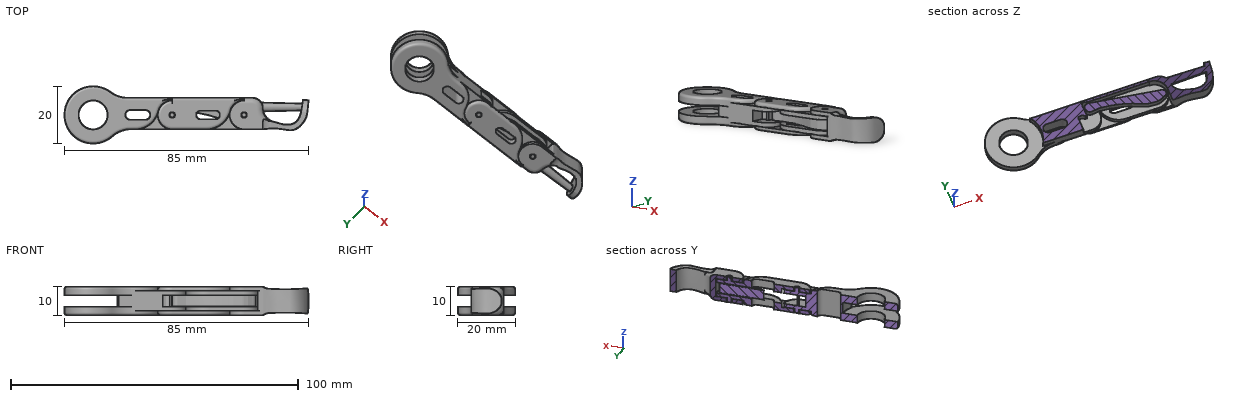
import cadquery as cq
import math


BACK_Y = 6.0
PALM_Y = -5.0
HALF_WIDTH = 5.0
EDGE_FILLET = 1.0
CUT_MARGIN = 2.0

PIVOT_1_X = 27.5
PIVOT_2_X = PIVOT_1_X + 25.0
LOBE_RADIUS = 5.0
CHEEK_THICKNESS = 1.5
FORK_HALF_GAP = HALF_WIDTH - CHEEK_THICKNESS
TONGUE_RADIUS = 4.75
TONGUE_AXIS_Y = PALM_Y + TONGUE_RADIUS
FORK_RADIUS = 5.25
PEG_DIAMETER = 1.7
PEG_HOLE_DIAMETER = 2.0
CHANNEL_HALF_WIDTH = 1.95
CHANNEL_ROOF_Y = 4.8

RING_RADIUS = 10.0
RING_BORE_DIAMETER = 10.0
NECK_RADIUS = 10.0
RING_GAP_RADIUS = 10.3
PROXIMAL_SHOULDER = 12.75
PROXIMAL_WINDOW = (15.55, 8.6, 3.3)
POCKET_START_X = 24.25
POCKET_BEND_X = 25.3
POCKET_EDGE_Y = 0.3
POCKET_ROOF_Y = 0.55
POCKET_HOLLOW_MIDDLE = (26.1, 0.35)
POCKET_LIP = (26.65, -0.1)
POCKET_END_X = 27.4

MIDDLE_SHOULDER = 13.0
FORK_SHOULDER = 12.75
MIDDLE_WINDOW = (40.0, 8.2, 3.0)

DISTAL_FILLET = 2.0
DISTAL_CORNER_X = 55.4
DISTAL_CORNER_RADIUS = 3.65
DISTAL_END_X = DISTAL_CORNER_X + DISTAL_CORNER_RADIUS
DISTAL_CORNER_Y = BACK_Y - DISTAL_CORNER_RADIUS
DISTAL_FORK_RADIUS = 4.85
DISTAL_WALL_X = PIVOT_2_X + DISTAL_FORK_RADIUS
MOUTH_ROUND = 0.45
FAIRING_FLOOR_Y = -4.2
HOOK_ROOT = (62.4, -2.25)
HOOK_TIP_X = 74.99
HOOK_TIP_Y = 5.1
HOOK_INNER_TIP = (72.95, 5.35)
HOOK_PALM_CURVE = [(61.8, -4.72), (66.6, -5.15), (70.2, -5.1), (73.2, -2.5), (HOOK_TIP_X, HOOK_TIP_Y)]
HOOK_INNER_CURVE = [(72.15, 0.4), (70.9, -2.1), (68.6, -3.3), (64.3, -2.8), HOOK_ROOT]
HOOK_NECK_HALF_WIDTH = 4.25
HOOK_WAIST_HALF_WIDTH = 4.15
HOOK_TIP_HALF_WIDTH = 4.45
HOOK_SHOULDER = (60.25, 4.42)
HOOK_NECK_X = 61.8
HOOK_WAIST_X = 69.0
TIP_ROUND_LENGTH = 5.5
SPIKE_Y = 2.75
SPIKE_START_X = 58.4
SPIKE_END_X = 73.2
SPIKE_START_RADIUS = 1.6
SPIKE_END_RADIUS = 1.25

COUPLER_HALF_WIDTH = 1.9
REAR_EYE = (29.4, 2.6)
REAR_EYE_RADIUS = 1.9
BEND_START = (32.3, 1.1)
BEND_MIDDLE = (41.5, -0.5)
BEND_END = (47.4, -2.8)
COUPLER_FACETS = [(48.8, -3.3), (51.9, -3.6), (52.4, -3.58), (53.9, -3.25), (55.4, -2.5)]
FRONT_END_TIP = (56.5, -0.8)
FRONT_END_BACK = (55.4, 0.4)


def slab(outline, half_width):
    """Extrude a closed XY outline into a slab centred on the Z = 0 plane."""
    return outline.extrude(2 * half_width).translate((0, 0, -half_width))


def block(x_min, x_max, y_min, y_max, half_width):
    """Rectangular block centred on Z = 0."""
    outline = cq.Workplane("XY").moveTo((x_min + x_max) / 2, (y_min + y_max) / 2)
    return slab(outline.rect(x_max - x_min, y_max - y_min), half_width)


def disc(x, radius, half_width, y=0.0):
    """Round disc with its axis along Z."""
    return slab(cq.Workplane("XY").center(x, y).circle(radius), half_width)


def s_curve(shoulder, hollow_radius):
    """Hollow arc about a hinge running into a convex arc that ends on the palm face.

    Returns the convex radius and the meeting point, relative to the hinge.
    """
    drop = -PALM_Y
    convex_radius = (shoulder**2 + drop**2 - hollow_radius**2) / (2 * (drop + hollow_radius))
    centre_y = PALM_Y + convex_radius
    span = math.hypot(shoulder, centre_y)
    return convex_radius, (hollow_radius * shoulder / span, hollow_radius * centre_y / span)


def s_curve_middles(shoulder, hollow_radius):
    """Midpoints of the hollow arc and of the convex arc, relative to the hinge."""
    convex_radius, meeting = s_curve(shoulder, hollow_radius)
    centre_y = PALM_Y + convex_radius
    hollow_angle = (math.pi / 2 + math.atan2(meeting[1], meeting[0])) / 2
    convex_angle = (math.atan2(-centre_y, -shoulder) - math.pi / 2) / 2
    hollow_middle = (hollow_radius * math.cos(hollow_angle), hollow_radius * math.sin(hollow_angle))
    convex_middle = (
        shoulder + convex_radius * math.cos(convex_angle),
        centre_y + convex_radius * math.sin(convex_angle),
    )
    return hollow_middle, convex_middle


def cheek_end_mask(pivot_x, shoulder):
    """Keeps a phalanx up to its hollowed cheek end, with that end's outer edges rounded."""
    start_x = pivot_x - shoulder
    high_y = RING_RADIUS + CUT_MARGIN
    _, meeting = s_curve(shoulder, LOBE_RADIUS)
    hollow_middle, convex_middle = s_curve_middles(shoulder, LOBE_RADIUS)
    end = slab(
        cq.Workplane("XY")
        .moveTo(start_x, high_y)
        .lineTo(start_x, PALM_Y)
        .threePointArc(
            (pivot_x - convex_middle[0], convex_middle[1]),
            (pivot_x - meeting[0], meeting[1]),
        )
        .threePointArc((pivot_x - hollow_middle[0], hollow_middle[1]), (pivot_x, LOBE_RADIUS))
        .lineTo(pivot_x, high_y)
        .close(),
        HALF_WIDTH,
    )
    end = end.faces("|Z").edges("%CIRCLE").fillet(EDGE_FILLET)
    rest = block(-RING_RADIUS - CUT_MARGIN, start_x, -high_y, high_y, HALF_WIDTH)
    return rest.union(end)


def tongue(start_x, pivot_x):
    """Narrow tongue that reaches into the next phalanx, rounded around the hinge."""
    bar = block(start_x, pivot_x, PALM_Y, BACK_Y, FORK_HALF_GAP)
    return bar.union(disc(pivot_x, TONGUE_RADIUS, FORK_HALF_GAP, TONGUE_AXIS_Y))


def pegs(pivot_x):
    """Peg through both cheeks of the next phalanx, one on each side of the tongue."""
    peg = disc(pivot_x, PEG_DIAMETER / 2, HALF_WIDTH)
    return peg.cut(disc(pivot_x, PEG_DIAMETER, CHANNEL_HALF_WIDTH))


def window(centre_x, length, width):
    """Long rounded opening through the whole width."""
    return slab(cq.Workplane("XY").center(centre_x, 0).slot2D(length, width), HALF_WIDTH + CUT_MARGIN)


def make_proximal():
    back_neck_x = math.sqrt((RING_RADIUS + NECK_RADIUS) ** 2 - (BACK_Y + NECK_RADIUS) ** 2)
    palm_neck_x = math.sqrt((RING_RADIUS + NECK_RADIUS) ** 2 - (NECK_RADIUS - PALM_Y) ** 2)
    ring_share = RING_RADIUS / (RING_RADIUS + NECK_RADIUS)
    back_joint = (back_neck_x * ring_share, (BACK_Y + NECK_RADIUS) * ring_share)
    palm_joint = (palm_neck_x * ring_share, (PALM_Y - NECK_RADIUS) * ring_share)

    outline = (
        cq.Workplane("XY")
        .moveTo(*palm_joint)
        .threePointArc((-RING_RADIUS, 0), back_joint)
        .radiusArc((back_neck_x, BACK_Y), -NECK_RADIUS)
        .lineTo(PIVOT_1_X, BACK_Y)
        .lineTo(PIVOT_1_X, PALM_Y)
        .lineTo(palm_neck_x, PALM_Y)
        .radiusArc(palm_joint, -NECK_RADIUS)
        .close()
    )
    body = slab(outline, HALF_WIDTH)
    free_edges = cq.selectors.BoxSelector(
        (PIVOT_1_X - EDGE_FILLET, -RING_RADIUS, -HALF_WIDTH - CUT_MARGIN),
        (PIVOT_1_X + EDGE_FILLET, RING_RADIUS, HALF_WIDTH + CUT_MARGIN),
    )
    body = body.faces("|Z").edges(cq.selectors.InverseSelector(free_edges)).fillet(EDGE_FILLET)
    body = body.intersect(cheek_end_mask(PIVOT_1_X, PROXIMAL_SHOULDER))
    body = body.union(tongue(PIVOT_1_X - PROXIMAL_SHOULDER, PIVOT_1_X))
    body = body.union(pegs(PIVOT_1_X))

    body = body.cut(disc(0, RING_BORE_DIAMETER / 2, HALF_WIDTH))
    body = body.cut(disc(0, RING_GAP_RADIUS, CHANNEL_HALF_WIDTH))

    body = body.cut(block(0, palm_neck_x, -RING_RADIUS, PALM_Y, CHANNEL_HALF_WIDTH))
    body = body.cut(block(0, back_neck_x, BACK_Y, RING_RADIUS, CHANNEL_HALF_WIDTH))
    body = body.cut(window(*PROXIMAL_WINDOW))

    pocket = (
        cq.Workplane("XY")
        .moveTo(POCKET_START_X, PALM_Y - CUT_MARGIN)
        .lineTo(POCKET_START_X, POCKET_EDGE_Y)
        .lineTo(POCKET_BEND_X, POCKET_ROOF_Y)
        .threePointArc(POCKET_HOLLOW_MIDDLE, POCKET_LIP)
        .lineTo(POCKET_END_X, POCKET_LIP[1])
        .lineTo(POCKET_END_X, CHANNEL_ROOF_Y)
        .lineTo(PIVOT_1_X + LOBE_RADIUS, CHANNEL_ROOF_Y)
        .lineTo(PIVOT_1_X + LOBE_RADIUS, PALM_Y - CUT_MARGIN)
        .close()
    )
    return body.cut(slab(pocket, CHANNEL_HALF_WIDTH))


def make_middle():
    body = block(PIVOT_1_X, PIVOT_2_X, PALM_Y, BACK_Y, HALF_WIDTH)
    body = body.faces("|Z").edges("|X").fillet(EDGE_FILLET)
    lobe = disc(PIVOT_1_X, LOBE_RADIUS, HALF_WIDTH)
    body = body.union(lobe.faces("|Z").edges().fillet(EDGE_FILLET))
    body = body.intersect(cheek_end_mask(PIVOT_2_X, MIDDLE_SHOULDER))
    body = body.union(tongue(PIVOT_2_X - MIDDLE_SHOULDER, PIVOT_2_X))
    body = body.union(pegs(PIVOT_2_X))

    _, meeting = s_curve(FORK_SHOULDER, FORK_RADIUS)
    hollow_middle, convex_middle = s_curve_middles(FORK_SHOULDER, FORK_RADIUS)
    fork = (
        cq.Workplane("XY")
        .moveTo(PIVOT_1_X - LOBE_RADIUS - CUT_MARGIN, FORK_RADIUS)
        .lineTo(PIVOT_1_X, FORK_RADIUS)
        .threePointArc(
            (PIVOT_1_X + hollow_middle[0], hollow_middle[1]),
            (PIVOT_1_X + meeting[0], meeting[1]),
        )
        .threePointArc(
            (PIVOT_1_X + convex_middle[0], convex_middle[1]),
            (PIVOT_1_X + FORK_SHOULDER, PALM_Y),
        )
        .lineTo(PIVOT_1_X + FORK_SHOULDER, PALM_Y - CUT_MARGIN)
        .lineTo(PIVOT_1_X - LOBE_RADIUS - CUT_MARGIN, PALM_Y - CUT_MARGIN)
        .close()
    )
    body = body.cut(slab(fork, FORK_HALF_GAP))
    body = body.cut(disc(PIVOT_1_X, PEG_HOLE_DIAMETER / 2, HALF_WIDTH))
    body = body.cut(window(*MIDDLE_WINDOW))

    channel_end_x = PIVOT_2_X + LOBE_RADIUS
    channel = block(PIVOT_1_X, channel_end_x, PALM_Y - CUT_MARGIN, CHANNEL_ROOF_Y, CHANNEL_HALF_WIDTH)
    return body.cut(channel)


def make_width_shape():
    """Waisted XZ shape of the fingertip: full width at the block, a waist, a slight flare."""
    shoulder_x, shoulder_z = HOOK_SHOULDER
    neck_z = HOOK_NECK_HALF_WIDTH
    waist_z = HOOK_WAIST_HALF_WIDTH
    tip_z = HOOK_TIP_HALF_WIDTH
    start_x = PIVOT_2_X - LOBE_RADIUS
    return (
        cq.Workplane("XZ")
        .moveTo(DISTAL_END_X, -HALF_WIDTH)
        .lineTo(start_x, -HALF_WIDTH)
        .lineTo(start_x, HALF_WIDTH)
        .lineTo(DISTAL_END_X, HALF_WIDTH)
        .threePointArc((shoulder_x, shoulder_z), (HOOK_NECK_X, neck_z))
        .threePointArc((HOOK_WAIST_X, waist_z), (HOOK_TIP_X, tip_z))
        .lineTo(HOOK_TIP_X, -tip_z)
        .threePointArc((HOOK_WAIST_X, -waist_z), (HOOK_NECK_X, -neck_z))
        .threePointArc((shoulder_x, -shoulder_z), (DISTAL_END_X, -HALF_WIDTH))
        .close()
        .extrude(2 * RING_RADIUS)
        .translate((0, RING_RADIUS, 0))
    )


def make_hook():
    """Curved fingertip plate, rounded at the tip."""
    plate = slab(
        cq.Workplane("XY")
        .moveTo(DISTAL_END_X, PALM_Y)
        .spline(
            HOOK_PALM_CURVE,
            tangents=[(1, 0), (0.1, 1)],
            includeCurrent=True,
        )
        .lineTo(*HOOK_INNER_TIP)
        .spline(
            HOOK_INNER_CURVE,
            tangents=[(-0.1, -1), (-1, 0.2)],
            includeCurrent=True,
        )
        .lineTo(DISTAL_END_X, HOOK_ROOT[1])
        .close(),
        HALF_WIDTH,
    )
    round_centre_y = HOOK_INNER_TIP[1] - TIP_ROUND_LENGTH
    tip_shape = (
        cq.Workplane("YZ")
        .center(round_centre_y, 0)
        .ellipse(TIP_ROUND_LENGTH, HOOK_TIP_HALF_WIDTH)
        .extrude(HOOK_TIP_X + CUT_MARGIN)
    )
    below = block(0, HOOK_TIP_X + CUT_MARGIN, -RING_RADIUS, round_centre_y, HALF_WIDTH)
    root = block(0, HOOK_WAIST_X, -RING_RADIUS, RING_RADIUS, HALF_WIDTH)
    return plate.intersect(tip_shape.union(below).union(root))


def make_distal():
    outline = (
        cq.Workplane("XY")
        .moveTo(PIVOT_2_X - LOBE_RADIUS, PALM_Y)
        .lineTo(PIVOT_2_X - LOBE_RADIUS, BACK_Y)
        .lineTo(DISTAL_CORNER_X, BACK_Y)
        .radiusArc((DISTAL_END_X, DISTAL_CORNER_Y), DISTAL_CORNER_RADIUS)
        .tangentArcPoint(HOOK_ROOT, relative=False)
        .lineTo(HOOK_ROOT[0], FAIRING_FLOOR_Y)
        .lineTo(DISTAL_END_X, FAIRING_FLOOR_Y)
        .lineTo(DISTAL_END_X, PALM_Y)
        .close()
    )
    body = slab(outline, HALF_WIDTH)
    back_edges = cq.selectors.BoxSelector(
        (PIVOT_2_X - LOBE_RADIUS, HOOK_ROOT[1], -HALF_WIDTH - CUT_MARGIN),
        (HOOK_ROOT[0] - EDGE_FILLET, RING_RADIUS, HALF_WIDTH + CUT_MARGIN),
    )
    side_ends = cq.selectors.BoxSelector(
        (PIVOT_2_X - LOBE_RADIUS - CUT_MARGIN, PALM_Y, -HALF_WIDTH - CUT_MARGIN),
        (PIVOT_2_X - LOBE_RADIUS + CUT_MARGIN, RING_RADIUS, HALF_WIDTH + CUT_MARGIN),
    )
    body = body.faces("|Z").edges(back_edges - side_ends).fillet(DISTAL_FILLET)

    front_part = block(PIVOT_2_X, HOOK_TIP_X, -RING_RADIUS, RING_RADIUS, HALF_WIDTH)
    body = body.intersect(disc(PIVOT_2_X, LOBE_RADIUS, HALF_WIDTH).union(front_part))
    body = body.union(make_hook()).intersect(make_width_shape())

    fork = (
        cq.Workplane("XY")
        .moveTo(PIVOT_2_X - LOBE_RADIUS - CUT_MARGIN, BACK_Y)
        .lineTo(PIVOT_2_X, BACK_Y)
        .lineTo(PIVOT_2_X, DISTAL_FORK_RADIUS)
        .radiusArc((DISTAL_WALL_X, 0), DISTAL_FORK_RADIUS)
        .lineTo(DISTAL_WALL_X, PALM_Y + MOUTH_ROUND)
        .radiusArc((DISTAL_WALL_X + MOUTH_ROUND, PALM_Y), -MOUTH_ROUND)
        .lineTo(DISTAL_WALL_X + MOUTH_ROUND, PALM_Y - CUT_MARGIN)
        .lineTo(PIVOT_2_X - LOBE_RADIUS - CUT_MARGIN, PALM_Y - CUT_MARGIN)
        .close()
    )
    body = body.cut(slab(fork, FORK_HALF_GAP))
    body = body.cut(disc(PIVOT_2_X, PEG_HOLE_DIAMETER / 2, HALF_WIDTH))

    spike = cq.Solid.makeCone(
        SPIKE_START_RADIUS,
        SPIKE_END_RADIUS,
        SPIKE_END_X - SPIKE_START_X,
        cq.Vector(SPIKE_START_X, SPIKE_Y, 0),
        cq.Vector(1, 0, 0),
    )
    return body.union(cq.Workplane(spike))


def make_coupler():
    """Bent bar from the back side of hinge 1 to the palm side of hinge 2."""
    rear_x, rear_y = REAR_EYE
    outline = (
        cq.Workplane("XY")
        .moveTo(rear_x, rear_y - REAR_EYE_RADIUS)
        .lineTo(*BEND_START)
        .threePointArc(BEND_MIDDLE, BEND_END)
        .polyline(COUPLER_FACETS, includeCurrent=True)
        .threePointArc(FRONT_END_TIP, FRONT_END_BACK)
        .lineTo(rear_x, rear_y + REAR_EYE_RADIUS)
        .threePointArc((rear_x - REAR_EYE_RADIUS, rear_y), (rear_x, rear_y - REAR_EYE_RADIUS))
        .close()
    )
    return slab(outline, COUPLER_HALF_WIDTH)


proximal = make_proximal()
middle = make_middle()
distal = make_distal()
coupler = make_coupler()

result = cq.Compound.makeCompound([proximal.val(), middle.val(), distal.val(), coupler.val()])